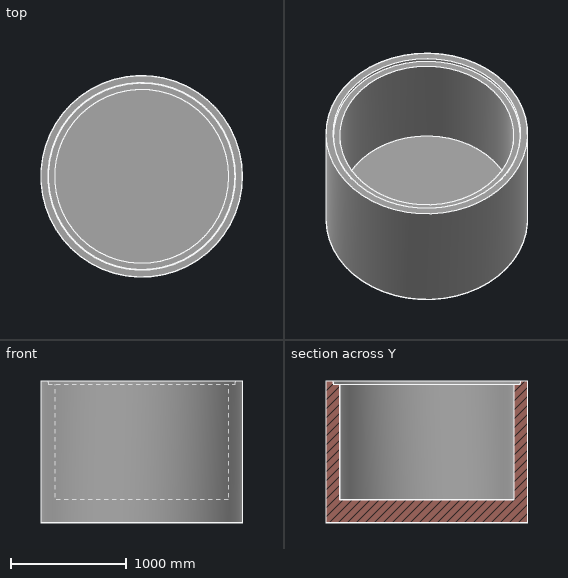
import cadquery as cq

outer_radius = 870.0
bore_radius = 750.0
height = 1225.0
floor_thickness = 200.0

seat_top_radius = 809.0
seat_bottom_radius = 804.0
seat_depth = 30.0

seat_height = height - seat_depth

half_section = (
    cq.Workplane("XZ")
    .moveTo(0, 0)
    .lineTo(outer_radius, 0)
    .lineTo(outer_radius, height)
    .lineTo(seat_top_radius, height)
    .lineTo(seat_bottom_radius, seat_height)
    .lineTo(bore_radius, seat_height)
    .lineTo(bore_radius, floor_thickness)
    .lineTo(0, floor_thickness)
    .close()
)

result = half_section.revolve(360, (0, 0, 0), (0, 1, 0))